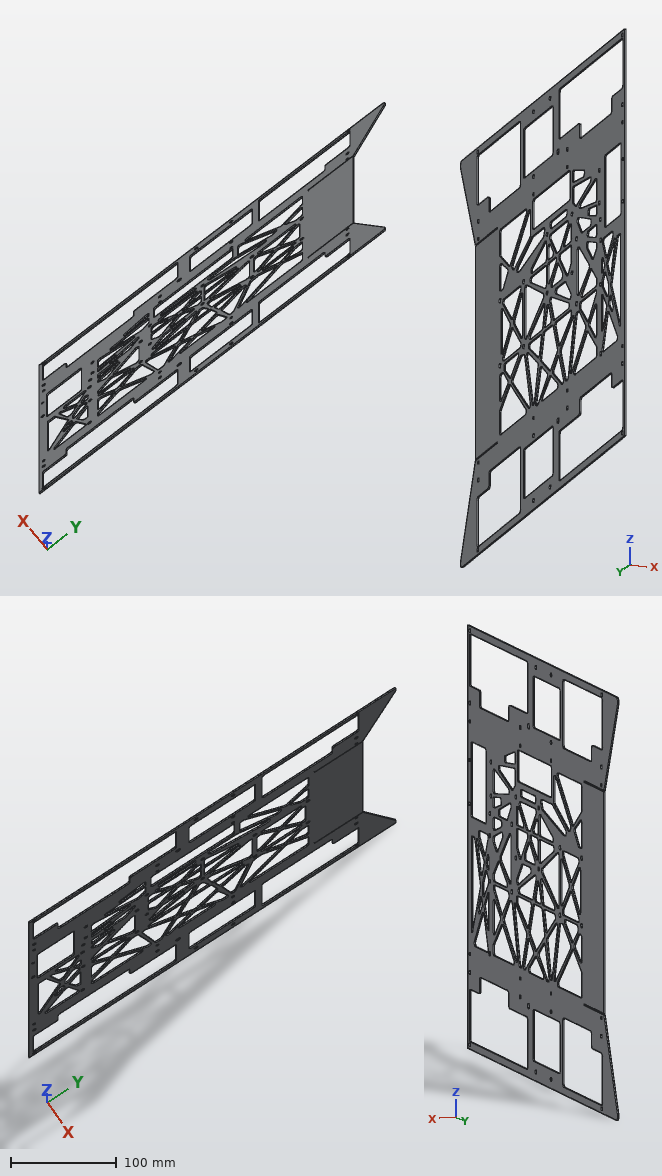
import cadquery as cq

THICKNESS = 1.5
WIDTH = 418.0
HEIGHT = 406.0

half_width = WIDTH / 2
half_height = HEIGHT / 2

wing_tip_z = 196.5
tab_y = 171.0
outline_radius = 3.5

slit_z = 107.0
slit_end_y = 116.3
slit_width = 1.3

row_in = 31.0
strut_width = 3.0
row_out = row_in + strut_width
row_z = (row_in + row_out) / 2
web_left = 109.5
web_right = -138.0
web_top = 103.3
web_bottom = -102.0

window_radius = 3.0
tight_radius = 1.45

pilot_dia = 3.0
mount_dia = 3.7
node_dia = 4.0
locating_dia = 5.0


def prism(points):
    """Through cutter with the given (Y, Z) corners."""
    return cq.Workplane("YZ").polyline(points).close().extrude(THICKNESS / 2, both=True)


def windows(outlines, radius):
    """Through cutters for separate outlines, with every corner rounded."""
    sketch = cq.Workplane("YZ")
    for points in outlines:
        sketch = sketch.polyline(points).close()
    return sketch.extrude(THICKNESS / 2, both=True).edges("|X").fillet(radius)


def rectangle(y_low, y_high, z_low, z_high):
    """Corners of an upright rectangle."""
    return [(y_low, z_low), (y_high, z_low), (y_high, z_high), (y_low, z_high)]


def mirrored(points):
    """The same points reflected across the Z = 0 centre line."""
    return [(y, -z) for y, z in points]


def holes(centres, diameter):
    """Round through cutters at (Y, Z) centres."""
    sketch = cq.Workplane("YZ").pushPoints(centres).circle(diameter / 2)
    return sketch.extrude(THICKNESS / 2, both=True)


upper_left = [(tab_y, slit_z), (half_width, wing_tip_z), (half_width, half_height)]
lower_left = mirrored(upper_left)[::-1]
panel = prism([(-half_width, -half_height), *lower_left, *upper_left, (-half_width, half_height)])
panel = panel.edges("|X and >Y").fillet(outline_radius)

margin_top = 195.5
margin_step = 145.5
margin_bottom = 129.2
stepped_window = [
    (167.0, margin_top), (56.5, margin_top), (56.5, margin_bottom),
    (136.7, margin_bottom), (136.7, margin_step), (167.0, margin_step),
]
tee_window = [
    (-41.5, margin_top), (-41.5, margin_step), (-94.5, margin_step), (-94.5, margin_bottom),
    (-176.0, margin_bottom), (-176.0, margin_step), (-204.5, margin_step), (-204.5, margin_top),
]
plain_window = rectangle(-26.8, 49.0, 135.0, 185.0)
margin_windows = [stepped_window, tee_window, plain_window]
margin_windows += [mirrored(outline) for outline in margin_windows]

web_openings = [
    rectangle(-70.3, 25.0, 76.0, 106.5),
    rectangle(-200.0, -157.5, 20.5, 93.0),
]

left_triangle = [(web_left, 71.0), (web_left, 41.5), (100.8, 41.5), (86.5, 56.0)]
left_windows = [
    left_triangle,
    mirrored(left_triangle),
    [(web_left, web_top), (36.0, web_top), (84.0, 58.0), (web_left, 77.5)],
    [(web_left, web_bottom), (37.2, web_bottom), (84.0, -58.0), (web_left, -77.5)],
    [(31.0, 103.3), (31.0, 72.0), (74.0, 51.5), (80.0, 57.0)],
    [(27.0, 70.3), (-6.5, 70.3), (-2.5, 60.5), (57.3, 46.0), (65.5, 46.0), (65.5, 51.5)],
    [(98.5, -row_out), (55.0, -row_out), (83.0, -54.0), (98.5, -40.0)],
    [(80.3, -57.5), (56.0, -39.5), (46.5, -40.5), (29.0, -104.5)],
]

bay_left = 106.2
bay_right = 50.5
bay_y = (bay_left + bay_right) / 2
crossing_gap = 3.0
bay_corner = 27.0
bay_above = [(bay_y - bay_corner, row_in), (bay_y + bay_corner, row_in), (bay_y, crossing_gap)]
bay_sides = [
    [(bay_left, bay_corner), (bay_left, -bay_corner), (bay_y + crossing_gap, 0)],
    [(bay_right, bay_corner), (bay_right, -bay_corner), (bay_y - crossing_gap, 0)],
]
bay_windows = [bay_above, mirrored(bay_above), *bay_sides]

middle_upper_windows = [
    [(-17.0, 70.3), (-62.0, 70.3), (-62.0, 62.7), (-21.0, 62.7)],
    [(-14.5, 58.0), (-34.5, row_out), (-44.5, row_out), (-69.5, 58.0)],
    [(-9.5, row_out), (-9.5, 57.0), (40.0, row_out)],
    [(-13.0, 49.0), (-19.0, 49.0), (-30.5, row_out), (-13.0, row_out)],
    [(-73.0, row_out), (-73.0, 52.3), (-67.5, 52.3), (-49.0, row_out)],
    [(-9.5, row_in), (42.0, row_in), (-9.5, 6.3)],
    [(-13.0, row_in), (-34.5, row_in), (-35.5, 26.8), (-13.0, 6.3)],
    [(-73.0, row_in), (-41.5, row_in), (-41.5, 26.8), (-62.7, 1.3), (-73.0, 12.5)],
    [(-17.0, 3.8), (-38.0, 24.5), (-50.5, 10.0), (-50.5, 3.8)],
    [(45.5, 29.0), (-6.0, 2.0), (45.5, -29.3)],
]

middle_lower_windows = [
    [(42.2, -row_in), (0, -row_in), (-7.0, -3.0)],
    [(-3.0, -row_in), (-13.0, -4.5), (-23.0, -row_in)],
    [(-15.5, -2.5), (-27.5, -row_in), (-78.5, -row_in)],
    [(-22.0, -0.5), (-57.5, -1.0), (-72.5, -18.0), (-71.5, -24.3)],
    [(44.0, -37.2), (11.0, -61.5), (24.0, -106.5)],
    [(42.2, -row_out), (2.0, -row_out), (9.0, -57.3)],
    [(-1.5, -row_out), (-26.0, -row_out), (-38.5, -64.0), (-19.2, -79.0), (6.3, -60.0)],
    [(-29.5, -row_out), (-73.0, -row_out), (-73.0, -41.0), (-41.0, -62.0)],
    [(-43.5, -65.5), (-82.5, -37.2), (-65.0, -101.0), (-58.0, -101.0)],
    [(-85.5, -41.5), (-92.5, -41.5), (-111.2, -63.0), (-67.0, -104.0)],
    [(6.0, -65.0), (-14.2, -80.3), (11.5, web_bottom), (19.2, web_bottom)],
    [(10.0, web_bottom), (-19.2, -82.5), (-39.0, -97.5), (-39.0, web_bottom)],
    [(-23.5, -81.0), (-40.0, -67.5), (-57.3, -108.0)],
]

right_windows = [
    [(-76.0, 104.0), (-106.5, 94.5), (-106.2, 88.2), (-76.0, 91.5)],
    [(-76.0, 87.5), (-134.0, 82.0), (-84.5, 65.0), (-76.0, 71.5)],
    [(web_right, 78.0), (web_right, 53.0), (-83.2, 61.5)],
    [(-82.5, 55.5), (-123.5, 40.0), (-123.5, row_out), (-99.0, row_out)],
    [(web_right, row_in), (web_right, 17.0), (-111.5, 26.5), (-116.0, row_in)],
    [(-112.5, 21.5), (-111.2, 16.0), (-127.5, -2.5), (web_right, 6.5), (web_right, 12.0)],
    [(-88.2, 26.8), (-121.0, -6.0), (-88.2, -28.5)],
    [(-93.0, -row_in), (-122.5, -8.0), (web_right, -24.0), (web_right, -row_in)],
    [(-94.0, -row_out), (-94.0, -39.7), (-115.0, -60.5), (-141.5, -row_out)],
    [(web_right, -44.7), (web_right, -86.0), (-116.3, -63.0)],
    [(-75.0, web_bottom), (-113.0, -67.0), (web_right, -92.0), (web_right, web_bottom)],
]

fan_windows = [
    [(-150.5, 11.3), (-179.0, 11.3), (-179.0, 5.0), (-162.0, -13.0)],
    [(-150.5, web_bottom), (-165.5, -62.5), (-193.5, web_bottom)],
    [(-151.5, -36.0), (-151.5, -30.0), (-158.5, -21.7), (-168.0, -38.5), (-168.0, -55.0)],
]

tight_windows = [
    [(-190.0, 2.5), (-198.5, 2.5), (-198.5, -95.0), (-173.0, -41.5)],
    [(-117.0, 52.5), (-115.0, 46.5), (-134.2, 40.0), (web_right, 40.0), (web_right, 49.8)],
    [(-149.5, -22.0), (-149.5, -10.0), (-153.0, -6.5), (-158.5, -17.0), (-154.0, -22.0)],
    [(-162.5, -16.5), (-186.5, 6.0), (-174.5, -31.0), (-169.5, -31.0)],
    [(-150.0, -41.0), (-163.5, -58.5), (-155.5, -77.8), (-150.0, -81.5)],
    [(-168.0, -59.5), (-169.5, -52.5), (-173.5, -51.0), (-180.2, -65.2), (-177.0, -70.0)],
]

window_groups = [
    (left_windows + bay_windows + middle_upper_windows + middle_lower_windows, window_radius),
    (right_windows + fan_windows + margin_windows + web_openings, window_radius),
    (tight_windows, tight_radius),
]
for outlines, radius in window_groups:
    panel = panel.cut(windows(outlines, radius))

slit = rectangle(slit_end_y, half_width, slit_z - slit_width / 2, slit_z + slit_width / 2)
for outline in (slit, mirrored(slit)):
    panel = panel.cut(prism(outline))

column_centre = -19.5
inner_offset = 43.0
outer_offset = 183.5
offsets = (-outer_offset, -inner_offset, inner_offset, outer_offset)
columns = [column_centre + offset for offset in offsets]
mount_z = 129.2
pilot_z = 111.5
mount_centres = [(y, mount_z) for y in columns]
mount_centres += [(165.0, 198.5), (-203.2, 198.5), (23.5, 194.0), (-19.0, 194.0)]
pilot_centres = [(y, pilot_z) for y in columns]
single_pilot = (-204.5, 74.5)
locating_centres = [(-39.5, 134.2)]

node_centres = [(y, z) for y in (108.7, 48.5, -86.0) for z in (row_z, -row_z)]
node_centres += [(-148.0, 11.3), (-148.0, web_bottom)]
web_mount_centres = [(y, z) for y in (-11.3, -75.0) for z in (60.5, 2.0)]
web_mount_centres += [(-144.3, 82.5), (-144.3, 49.8), (-147.0, row_z), (-147.0, -row_z), (-204.5, row_z)]

hole_groups = [
    (mount_centres + mirrored(mount_centres) + web_mount_centres, mount_dia),
    (pilot_centres + mirrored(pilot_centres) + [single_pilot], pilot_dia),
    (locating_centres + mirrored(locating_centres), locating_dia),
    (node_centres, node_dia),
]
for centres, diameter in hole_groups:
    panel = panel.cut(holes(centres, diameter))

result = panel